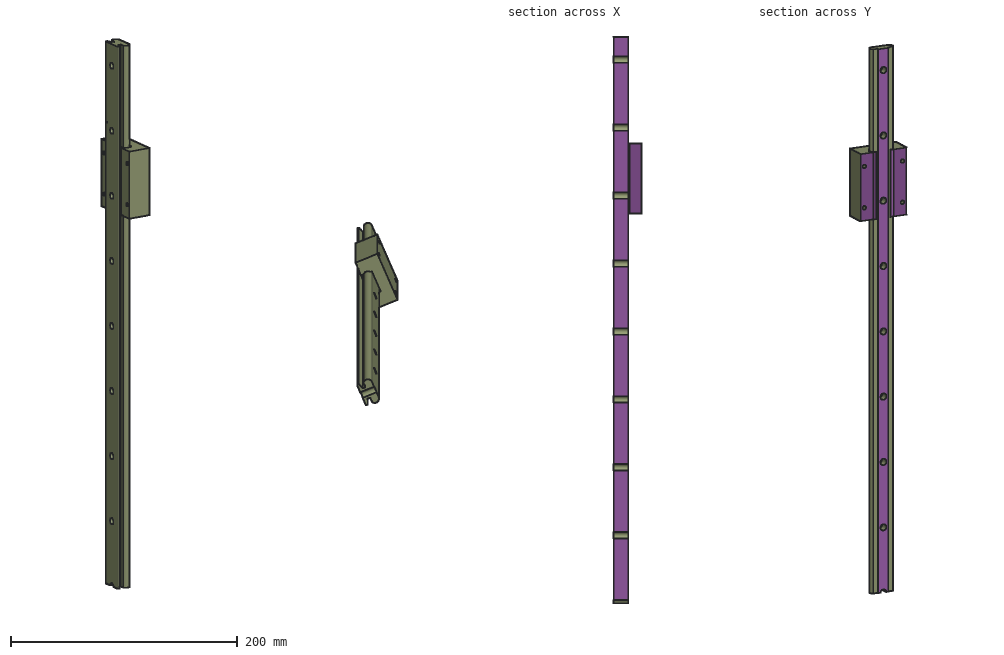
import cadquery as cq
import math

RAIL_LENGTH = 500.0
RAIL_FRONT_Y = -12.5
RAIL_BACK_Y = 0.85
HEAD_WIDTH = 23.0
HEAD_RADIUS = 3.95
HEAD_BACK_ANGLE = 80.0
HEAD_FRONT_ANGLE = -57.0
NECK_WIDTH = 10.5
FOOT_WIDTH = 20.5
FOOT_SIDE_HEIGHT = 1.9
FOOT_FILLET = 0.6
FLANK_SLOPE = 19.0

RAIL_HOLE_DIAMETER = 5.5
RAIL_HOLE_PITCH = 60.0
RAIL_HOLE_COUNT = 9
FIRST_HOLE_FROM_TOP = 20.0

CARRIAGE_WIDTH = 46.0
CARRIAGE_BACK_Y = 12.5
CARRIAGE_FRONT_Y = -8.5
CARRIAGE_LENGTH = 62.0
CARRIAGE_CENTRE_Z = 125.0
BACK_CLEARANCE = 1.0
SIDE_CLEARANCE = 0.25
RELIEF_WIDTH = 20.0

LIP_HALF_GAP = 7.0
LIP_BACK_Y = -7.0

CARRIAGE_HOLE_DIAMETER = 3.0
CARRIAGE_HOLE_SPACING = 38.0

HEAD_CENTRE_X = HEAD_WIDTH / 2 - HEAD_RADIUS
HEAD_CENTRE_Y = RAIL_BACK_Y - HEAD_RADIUS * math.sin(math.radians(HEAD_BACK_ANGLE))
FOOT_BACK_Y = RAIL_FRONT_Y + FOOT_SIDE_HEIGHT
FLANK_RUN = (FOOT_WIDTH - NECK_WIDTH) / 2
NECK_FRONT_Y = FOOT_BACK_Y + FLANK_RUN * math.tan(math.radians(FLANK_SLOPE))


def head_point(angle, radius):
    """Point at an angle on the circle that rounds the +X side of the rail head."""
    turn = math.radians(angle)
    return (HEAD_CENTRE_X + radius * math.cos(turn), HEAD_CENTRE_Y + radius * math.sin(turn))


CHANNEL_RADIUS = HEAD_RADIUS + SIDE_CLEARANCE
MOUTH_HALF_WIDTH = head_point(HEAD_FRONT_ANGLE, CHANNEL_RADIUS)[0]


def symmetric_bar(start_y, back, arc_middle, arc_end, lower_points, length):
    """Extrude a section mirrored about X = 0, centred on Z = 0, from its +X half outline."""
    half = (
        cq.Workplane("XY")
        .moveTo(0, start_y)
        .lineTo(*back)
        .threePointArc(arc_middle, arc_end)
    )
    for point in lower_points:
        half = half.lineTo(*point)
    return half.mirrorY().extrude(length / 2, both=True)


def y_holes(points, diameter):
    """Cylinders along Y, long enough to pass through either body, at (x, z) points."""
    reach = CARRIAGE_BACK_Y - RAIL_FRONT_Y
    return cq.Workplane("XZ").pushPoints(points).circle(diameter / 2).extrude(reach, both=True)


def make_rail():
    head_front = head_point(HEAD_FRONT_ANGLE, HEAD_RADIUS)
    below_head = [
        (NECK_WIDTH / 2, head_front[1]),
        (NECK_WIDTH / 2, NECK_FRONT_Y),
        (FOOT_WIDTH / 2, FOOT_BACK_Y),
        (FOOT_WIDTH / 2, RAIL_FRONT_Y),
        (0, RAIL_FRONT_Y),
    ]
    bar = symmetric_bar(
        RAIL_BACK_Y, head_point(HEAD_BACK_ANGLE, HEAD_RADIUS), head_point(0, HEAD_RADIUS),
        head_front, below_head, RAIL_LENGTH,
    )
    bar = bar.faces("<Y").edges("|Z").fillet(FOOT_FILLET)
    first_z = RAIL_LENGTH / 2 - FIRST_HOLE_FROM_TOP
    centres = [(0, first_z - i * RAIL_HOLE_PITCH) for i in range(RAIL_HOLE_COUNT)]
    return bar.cut(y_holes(centres, RAIL_HOLE_DIAMETER))


def make_channel():
    """Space for the rail: it follows the rounded head and runs straight out to the carriage front."""
    side_back = head_point(HEAD_BACK_ANGLE, CHANNEL_RADIUS)
    side_front = head_point(HEAD_FRONT_ANGLE, CHANNEL_RADIUS)
    mouth = [(MOUTH_HALF_WIDTH, CARRIAGE_FRONT_Y), (0, CARRIAGE_FRONT_Y)]
    channel = symmetric_bar(
        side_back[1], side_back, head_point(0, CHANNEL_RADIUS), side_front, mouth, CARRIAGE_LENGTH
    )
    relief_depth = RAIL_BACK_Y + BACK_CLEARANCE - HEAD_CENTRE_Y
    relief = cq.Workplane("XY").box(RELIEF_WIDTH, relief_depth, CARRIAGE_LENGTH)
    return channel.union(relief.translate((0, HEAD_CENTRE_Y + relief_depth / 2, 0)))


def make_carriage():
    depth = CARRIAGE_BACK_Y - CARRIAGE_FRONT_Y
    block = cq.Workplane("XY").box(CARRIAGE_WIDTH, depth, CARRIAGE_LENGTH)
    block = block.translate((0, CARRIAGE_FRONT_Y + depth / 2, 0))
    offset = CARRIAGE_HOLE_SPACING / 2
    centres = [(x, z) for x in (-offset, offset) for z in (-offset, offset)]
    block = block.cut(make_channel()).cut(y_holes(centres, CARRIAGE_HOLE_DIAMETER))
    return block.translate((0, 0, CARRIAGE_CENTRE_Z))


def make_lip_strip(side):
    """Strip on one wall of the channel mouth (side is -1 or 1) that reaches into the rail neck."""
    width = MOUTH_HALF_WIDTH - LIP_HALF_GAP
    depth = LIP_BACK_Y - CARRIAGE_FRONT_Y
    strip = cq.Workplane("XY").box(width, depth, CARRIAGE_LENGTH)
    centre_x = side * (LIP_HALF_GAP + width / 2)
    return strip.translate((centre_x, CARRIAGE_FRONT_Y + depth / 2, CARRIAGE_CENTRE_Z))


rail = make_rail()
carriage = make_carriage()
lip_strips = [make_lip_strip(side) for side in (-1, 1)]
result = cq.Compound.makeCompound([rail.val(), carriage.val(), *[strip.val() for strip in lip_strips]])